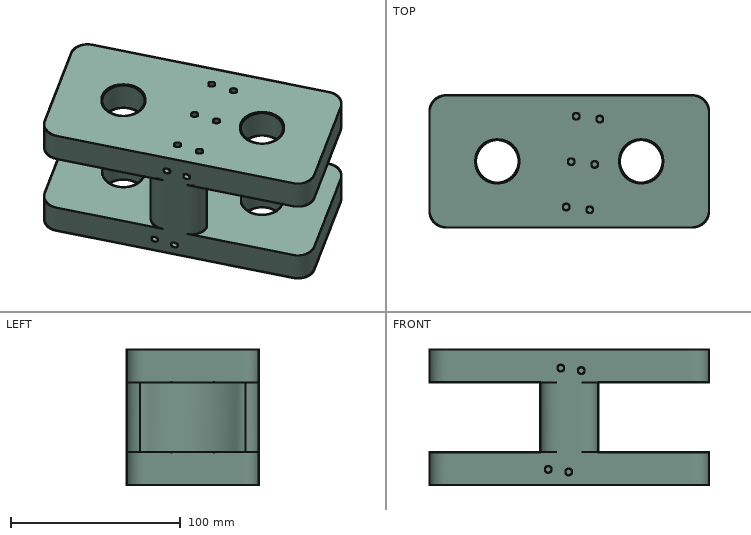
import cadquery as cq
import math

length = 165.0
width = 78.0
height = 80.0
plate_thickness = 19.5
corner_radius = 10.0
gap = height - 2 * plate_thickness

bore_offset = 42.4
bore_diameter = 25.0
bore_chamfer = 0.5

lobe_radius = 9.5
lobe_center_x = 7.8
outer_lobe_y = width / 2 - lobe_radius
scallop_radius = 38.0
inner_lobe_y = math.sqrt((scallop_radius + lobe_radius) ** 2 - (bore_offset - lobe_center_x) ** 2)

pin_diameter = 4.0
pin_depth = 5.0
top_pin_start = (4.1, 26.5)
top_pin_column_step = (13.9, -1.6)
top_pin_row_step = (-3.0, -26.7)
top_pin_rows = 3
front_pin_start = (-5.0, 29.0)
front_pin_column_step = (12.0, -1.5)
front_pin_row_step = (-7.5, -59.7)
front_pin_rows = 2


def plate(bottom_z):
    return (
        cq.Workplane("XY", origin=(0, 0, bottom_z))
        .rect(length, width)
        .extrude(plate_thickness)
        .edges("|Z")
        .fillet(corner_radius)
    )


def on_circle(center, radius, angle):
    return (center[0] + radius * math.cos(angle), center[1] + radius * math.sin(angle))


def web():
    """Extrude the scalloped profile; its +X, +Y quarter is mirrored to the rest."""
    outer_center = (lobe_center_x, outer_lobe_y)
    inner_center = (lobe_center_x, inner_lobe_y)

    tangent_angle = math.asin(inner_lobe_y / (scallop_radius + lobe_radius))
    tangent_point = on_circle(inner_center, lobe_radius, -tangent_angle)

    crease_angle = math.asin((inner_lobe_y - outer_lobe_y) / (2 * lobe_radius))
    crease = on_circle(outer_center, lobe_radius, crease_angle)

    scallop_middle = (bore_offset - scallop_radius, 0)
    scallop_between = on_circle((bore_offset, 0), scallop_radius, math.pi - tangent_angle / 2)
    inner_between = on_circle(inner_center, lobe_radius, -(tangent_angle + crease_angle) / 2)
    outer_between = on_circle(outer_center, lobe_radius, (math.pi / 2 + crease_angle) / 2)

    quarter = (
        cq.Workplane("XY", origin=(0, 0, -gap / 2))
        .moveTo(0, 0)
        .lineTo(*scallop_middle)
        .threePointArc(scallop_between, tangent_point)
        .threePointArc(inner_between, crease)
        .threePointArc(outer_between, (lobe_center_x, width / 2))
        .lineTo(0, width / 2)
        .close()
        .extrude(gap)
    )
    half = quarter.union(quarter.mirror("XZ"))
    return half.union(half.mirror("YZ"))


def bores():
    centers = [(-bore_offset, 0), (bore_offset, 0)]
    shafts = (
        cq.Workplane("XY", origin=(0, 0, -height / 2))
        .pushPoints(centers)
        .circle(bore_diameter / 2)
        .extrude(height)
    )
    lead_ins = (
        cq.Workplane("XY", origin=(0, 0, height / 2))
        .pushPoints(centers)
        .circle(bore_diameter / 2 + bore_chamfer)
        .extrude(-bore_chamfer, taper=45)
    )
    return shafts.union(lead_ins)


def slanted_grid(start, column_step, row_step, rows):
    """Points of a two-column grid whose rows and columns are both slanted."""
    return [
        (
            start[0] + column * column_step[0] + row * row_step[0],
            start[1] + column * column_step[1] + row * row_step[1],
        )
        for row in range(rows)
        for column in range(2)
    ]


def pin_holes(workplane, points):
    return workplane.pushPoints(points).circle(pin_diameter / 2).extrude(-pin_depth)


top_pins = pin_holes(
    cq.Workplane("XY", origin=(0, 0, height / 2)),
    slanted_grid(top_pin_start, top_pin_column_step, top_pin_row_step, top_pin_rows),
)
front_pins = pin_holes(
    cq.Workplane("XZ", origin=(0, -width / 2, 0)),
    slanted_grid(front_pin_start, front_pin_column_step, front_pin_row_step, front_pin_rows),
)

plates = plate(-height / 2).union(plate(gap / 2))
body = plates.union(web())
result = body.cut(bores()).cut(top_pins).cut(front_pins)